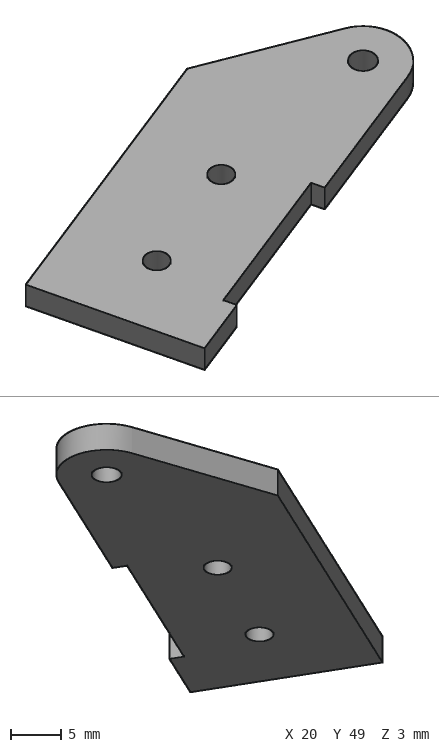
import cadquery as cq
import math

length = 49.0
width = 20.0
thickness = 3.0
shoulder_y = 35.0

tip_radius = 5.0
tip_x = width - tip_radius
tip_y = length - tip_radius

notch_depth = 1.5
notch_bottom = 7.0
notch_top = 26.0

tip_hole_diameter = 3.0
mount_hole_diameter = 2.8
mount_hole_x = width / 2
mount_hole_heights = (9.0, 23.0)


def tip_point(angle):
    """Point on the tip arc at the given angle from +X."""
    return (tip_x + tip_radius * math.cos(angle), tip_y + tip_radius * math.sin(angle))


def plate():
    """Plate whose slanted edge leaves the shoulder and touches the tip arc tangentially."""
    shoulder_to_tip = math.hypot(tip_x, tip_y - shoulder_y)
    slant_angle = math.atan2(tip_y - shoulder_y, tip_x) + math.asin(tip_radius / shoulder_to_tip)
    tangent_angle = slant_angle + math.pi / 2
    return (
        cq.Workplane("XY")
        .moveTo(0, 0)
        .lineTo(width, 0)
        .lineTo(width, tip_y)
        .threePointArc(tip_point(tangent_angle / 2), tip_point(tangent_angle))
        .lineTo(0, shoulder_y)
        .close()
        .extrude(thickness)
    )


def notch():
    """Block removed from the right edge."""
    return cq.Workplane("XY").box(
        notch_depth, notch_top - notch_bottom, thickness, centered=False
    ).translate((width - notch_depth, notch_bottom, 0))


def hole(x, y, diameter):
    """Cylinder removed through the full thickness."""
    return cq.Workplane("XY").center(x, y).circle(diameter / 2).extrude(thickness)


result = plate().cut(notch())
result = result.cut(hole(tip_x, tip_y, tip_hole_diameter))
for mount_hole_y in mount_hole_heights:
    result = result.cut(hole(mount_hole_x, mount_hole_y, mount_hole_diameter))